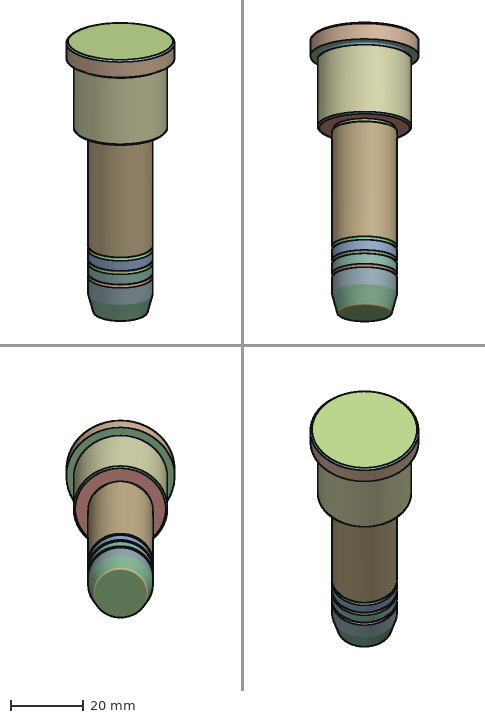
import cadquery as cq
import math

total_length = 80.0
head_radius = 15.0
head_height = 5.0
edge_chamfer = 0.5

body_radius = 13.0
body_bottom_depth = 26.0

shaft_radius = 9.0
lead_in_length = 5.5
lead_in_angle = 15.0
tip_fillet = 0.5

neck_radius = 8.5
neck_length = 1.0

groove_radius = 0.5
shaft_groove_count = 3
shaft_groove_pitch = 4.0
first_groove_depth = 61.0

head_bottom_z = -head_height
body_bottom_z = -body_bottom_depth
neck_bottom_z = body_bottom_z - neck_length
tip_z = -total_length
lead_in_top_z = tip_z + lead_in_length
tip_radius = shaft_radius - lead_in_length * math.tan(math.radians(lead_in_angle))


def revolve_about_z(section):
    """Full turn of a closed XZ section about the Z axis."""
    return section.close().revolve(360, (0, 0), (0, 1))


def make_pin():
    """Stepped pin without its grooves."""
    profile = [
        (0, 0),
        (head_radius - edge_chamfer, 0),
        (head_radius, -edge_chamfer),
        (head_radius, head_bottom_z),
        (body_radius, head_bottom_z),
        (body_radius, body_bottom_z + edge_chamfer),
        (body_radius - edge_chamfer, body_bottom_z),
        (neck_radius, body_bottom_z),
        (neck_radius, neck_bottom_z),
        (shaft_radius, neck_bottom_z),
        (shaft_radius, lead_in_top_z),
        (tip_radius, tip_z),
        (0, tip_z),
    ]
    pin = revolve_about_z(cq.Workplane("XZ").polyline(profile))
    return pin.faces("<Z").edges().fillet(tip_fillet)


def make_groove(surface_radius, center_z):
    """Ring with a half-round section that cuts one groove into a cylinder."""
    section = (
        cq.Workplane("XZ")
        .moveTo(surface_radius, center_z + groove_radius)
        .threePointArc(
            (surface_radius - groove_radius, center_z),
            (surface_radius, center_z - groove_radius),
        )
    )
    return revolve_about_z(section)


result = make_pin()
result = result.cut(make_groove(body_radius, head_bottom_z - groove_radius))
for index in range(shaft_groove_count):
    groove_z = -first_groove_depth - index * shaft_groove_pitch
    result = result.cut(make_groove(shaft_radius, groove_z))